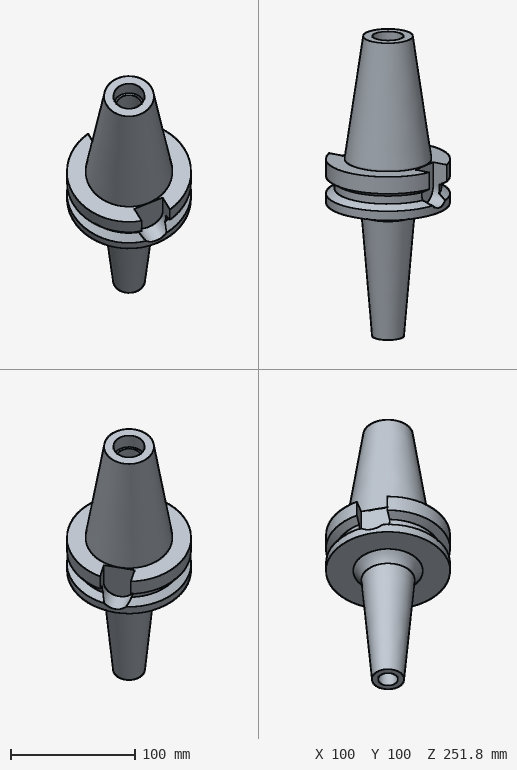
import cadquery as cq
import math


GAUGE_RADIUS = 69.85 / 2
SHANK_LENGTH = 101.8
TAPER_RATIO = 7 / 24
SHANK_TOP_RADIUS = GAUGE_RADIUS - SHANK_LENGTH * TAPER_RATIO / 2

FLANGE_RADIUS = 50.0
FLANGE_TOP_Z = -1.5
FLANGE_BOTTOM_Z = -38.0
GROOVE_RADIUS = 43.1
GROOVE_CENTER_Z = -23.0
GROOVE_FLOOR_WIDTH = 6.7
GROOVE_FLANK_ANGLE = 30.0

NOSE_BOTTOM_Z = -150.0
NOSE_TIP_RADIUS = 13.0
NOSE_CONE_ANGLE = 4.75
FLARE_BOTTOM_Z = -47.7
FLARE_TOP_RADIUS = 28.0
FLARE_SAG = 0.6

SLOT_WIDTH = 25.4
SLOT_FLOOR_X = 35.2
SLOT_BOTTOM_Z = -34.0

BORE_RADIUS = 8.0
COUNTERBORE_RADIUS = 12.5
COUNTERBORE_DEPTH = 13.0
THREAD_RADIUS = 10.5
THREAD_DEPTH = 45.0


def make_body():
    """Revolve the outer profile of shank, flange and nose."""
    half_floor = GROOVE_FLOOR_WIDTH / 2
    flank_height = (FLANGE_RADIUS - GROOVE_RADIUS) * math.tan(math.radians(GROOVE_FLANK_ANGLE))
    half_mouth = half_floor + flank_height

    nose_length = FLARE_BOTTOM_Z - NOSE_BOTTOM_Z
    nose_top_radius = NOSE_TIP_RADIUS + nose_length * math.tan(math.radians(NOSE_CONE_ANGLE))

    profile = (
        cq.Workplane("XZ")
        .moveTo(0, SHANK_LENGTH)
        .lineTo(SHANK_TOP_RADIUS, SHANK_LENGTH)
        .lineTo(GAUGE_RADIUS, 0)
        .lineTo(GAUGE_RADIUS, FLANGE_TOP_Z)
        .lineTo(FLANGE_RADIUS, FLANGE_TOP_Z)
        .lineTo(FLANGE_RADIUS, GROOVE_CENTER_Z + half_mouth)
        .lineTo(GROOVE_RADIUS, GROOVE_CENTER_Z + half_floor)
        .lineTo(GROOVE_RADIUS, GROOVE_CENTER_Z - half_floor)
        .lineTo(FLANGE_RADIUS, GROOVE_CENTER_Z - half_mouth)
        .lineTo(FLANGE_RADIUS, FLANGE_BOTTOM_Z)
        .lineTo(FLARE_TOP_RADIUS, FLANGE_BOTTOM_Z)
        .sagittaArc((nose_top_radius, FLARE_BOTTOM_Z), -FLARE_SAG)
        .lineTo(NOSE_TIP_RADIUS, NOSE_BOTTOM_Z)
        .lineTo(0, NOSE_BOTTOM_Z)
        .close()
    )
    return profile.revolve(360, (0, 0, 0), (0, 1, 0))


def make_drive_slot(side):
    """Round-bottomed key slot, open at the flange top and rim; side is +1 or -1 along X."""
    slot_radius = SLOT_WIDTH / 2
    round_center_z = SLOT_BOTTOM_Z + slot_radius
    return (
        cq.Workplane("YZ", origin=(side * SLOT_FLOOR_X, 0, 0))
        .moveTo(-slot_radius, 0)
        .lineTo(-slot_radius, round_center_z)
        .threePointArc((0, SLOT_BOTTOM_Z), (slot_radius, round_center_z))
        .lineTo(slot_radius, 0)
        .close()
        .extrude(side * FLANGE_RADIUS)
    )


def make_bore_step(radius, depth):
    """Cylinder reaching down from the top face of the shank."""
    return cq.Workplane("XY", origin=(0, 0, SHANK_LENGTH)).circle(radius).extrude(-depth)


result = make_body()

for side in (-1, 1):
    result = result.cut(make_drive_slot(side))

result = result.cut(make_bore_step(COUNTERBORE_RADIUS, COUNTERBORE_DEPTH))
result = result.cut(make_bore_step(THREAD_RADIUS, THREAD_DEPTH))
result = result.cut(make_bore_step(BORE_RADIUS, SHANK_LENGTH - NOSE_BOTTOM_Z))